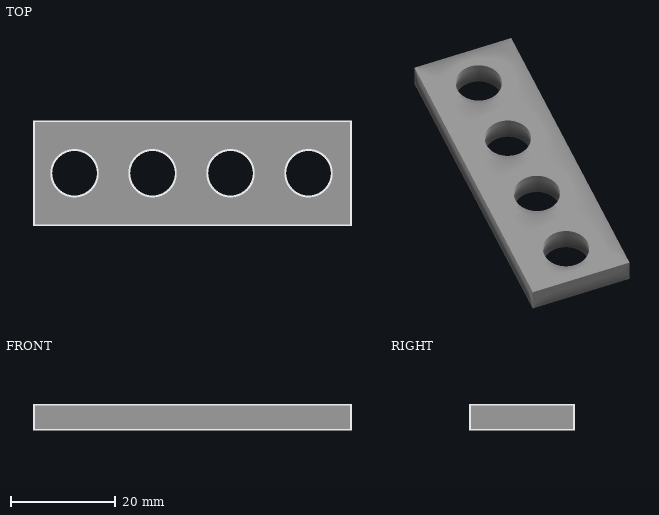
import cadquery as cq

length = 60.95
width = 20.05
thickness = 4.8

hole_count = 4
hole_diameter = 8.9
hole_pitch = 15.0
first_hole_from_end = 7.8

first_hole_x = first_hole_from_end - length / 2
hole_centres = [(first_hole_x + i * hole_pitch, 0) for i in range(hole_count)]

bar = cq.Workplane("XY").box(length, width, thickness)
result = bar.faces(">Z").workplane().pushPoints(hole_centres).hole(hole_diameter)